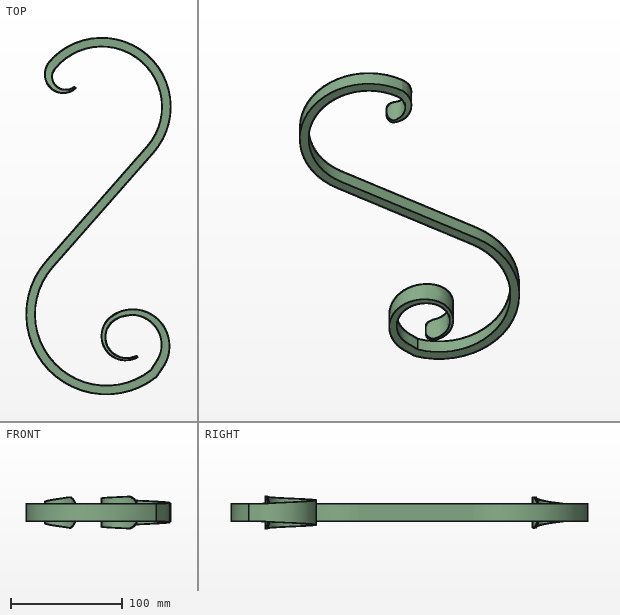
import cadquery as cq
import math


OVERALL_X = 129.76
OVERALL_Y = 319.94

BAR_THICKNESS = 8.0
BAR_HEIGHT = 16.0

UPPER_BOW_RADIUS = 58.0
LOWER_BOW_RADIUS = 68.0
UPPER_BOW_END_ANGLE = 140.0
LOWER_BOW_END_ANGLE = 308.5

TIP_THICKNESS = 1.5
TIP_HEIGHT = 29.58
TIP_CORNER_RADIUS = 10.0
UPPER_CURL_RADIUS = 14.3
UPPER_CURL_TURN = 172.0
LOWER_CURL_RADII = (30.0, 20.4)
LOWER_CURL_TURNS = (155.0, 175.0)
LOWER_CURL_CENTRE = (30.1, -116.1)
LOWER_CURL_START_ANGLE = -31.0

CUTTER_MARGIN = 1.0
CUTTER_REACH = 8.0
SECTION_STEP = 15.0


def polar(centre, radius, angle):
    """Point at a radius and an angle in degrees about a centre."""
    a = math.radians(angle)
    return (centre[0] + radius * math.cos(a), centre[1] + radius * math.sin(a))


HALF_THICKNESS = BAR_THICKNESS / 2
upper_reach = UPPER_BOW_RADIUS + HALF_THICKNESS
lower_reach = LOWER_BOW_RADIUS + HALF_THICKNESS
upper_centre = (OVERALL_X / 2 - upper_reach, OVERALL_Y / 2 - upper_reach)
lower_centre = (lower_reach - OVERALL_X / 2, lower_reach - OVERALL_Y / 2)

centre_dx = upper_centre[0] - lower_centre[0]
centre_dy = upper_centre[1] - lower_centre[1]
centre_distance = math.hypot(centre_dx, centre_dy)
centre_direction = math.degrees(math.atan2(centre_dy, centre_dx))
tangent_offset = math.degrees(math.acos((UPPER_BOW_RADIUS + LOWER_BOW_RADIUS) / centre_distance))
lower_tangent_angle = centre_direction + tangent_offset
upper_tangent_angle = lower_tangent_angle - 180.0


def bar_prism(plan):
    """Extrude a closed plan outline to the bar height, centred on Z = 0."""
    return plan.close().extrude(BAR_HEIGHT / 2, both=True)


def bow(centre, radius, start_angle, end_angle):
    """Circular stretch of bar between two angles."""
    inner = radius - HALF_THICKNESS
    outer = radius + HALF_THICKNESS
    middle = (start_angle + end_angle) / 2
    return bar_prism(
        cq.Workplane("XY")
        .moveTo(*polar(centre, inner, start_angle))
        .threePointArc(polar(centre, inner, middle), polar(centre, inner, end_angle))
        .lineTo(*polar(centre, outer, end_angle))
        .threePointArc(polar(centre, outer, middle), polar(centre, outer, start_angle))
    )


def link(start_centre, start_radius, start_angle, end_centre, end_radius, end_angle):
    """Straight bar joining two radial bar ends; a negative radius puts the end
    on the far side of its centre."""
    return bar_prism(
        cq.Workplane("XY")
        .moveTo(*polar(start_centre, start_radius - HALF_THICKNESS, start_angle))
        .lineTo(*polar(start_centre, start_radius + HALF_THICKNESS, start_angle))
        .lineTo(*polar(end_centre, end_radius + HALF_THICKNESS, end_angle))
        .lineTo(*polar(end_centre, end_radius - HALF_THICKNESS, end_angle))
    )


def curl_section(point, angle, fraction):
    """Rectangular curl section, radial at the given angle; fraction runs from 0
    at the bar to 1 at the tip."""
    half_thickness = (BAR_THICKNESS + (TIP_THICKNESS - BAR_THICKNESS) * fraction) / 2
    half_height = (BAR_HEIGHT + (TIP_HEIGHT - BAR_HEIGHT) * fraction) / 2
    inner = polar(point, -half_thickness, angle)
    outer = polar(point, half_thickness, angle)
    corners = [
        cq.Vector(*inner, -half_height),
        cq.Vector(*outer, -half_height),
        cq.Vector(*outer, half_height),
        cq.Vector(*inner, half_height),
    ]
    return cq.Wire.makePolygon(corners, close=True)


def tip_corner_cutter(tip, angle):
    """Waste outside the two rounded corners of a curl tip, seen square to it."""
    start = -TIP_CORNER_RADIUS
    half_height = TIP_HEIGHT / 2
    arc_middle = TIP_CORNER_RADIUS * (1 - math.sqrt(0.5))
    normal = cq.Vector(*polar((0, 0), 1, angle), 0)
    along = cq.Vector(*polar((0, 0), 1, angle + 90), 0)
    plane = cq.Plane(cq.Vector(*tip, 0), xDir=along, normal=normal)
    upper = (
        cq.Workplane(plane)
        .moveTo(start, half_height)
        .threePointArc((-arc_middle, half_height - arc_middle), (0, half_height - TIP_CORNER_RADIUS))
        .lineTo(CUTTER_MARGIN, half_height - TIP_CORNER_RADIUS)
        .lineTo(CUTTER_MARGIN, half_height + CUTTER_MARGIN)
        .lineTo(start, half_height + CUTTER_MARGIN)
        .close()
        .extrude(CUTTER_REACH, both=True)
    )
    return upper.union(upper.mirror("XY"))


def curl(centre, start_angle, radii, turns):
    """Tapering curl that follows tangent arcs counter-clockwise, with the
    corners of its wide tip rounded."""
    total_length = sum(r * math.radians(t) for r, t in zip(radii, turns))
    point = polar(centre, radii[0], start_angle)
    angle = start_angle
    travelled = 0.0
    sections = [curl_section(point, angle, 0.0)]
    for radius, turn in zip(radii, turns):
        arc_centre = polar(point, -radius, angle)
        steps = math.ceil(turn / SECTION_STEP)
        for _ in range(steps):
            angle += turn / steps
            travelled += radius * math.radians(turn / steps)
            point = polar(arc_centre, radius, angle)
            sections.append(curl_section(point, angle, travelled / total_length))
    body = cq.Workplane(cq.Solid.makeLoft(sections))
    return body.cut(tip_corner_cutter(point, angle))


upper_bow = bow(upper_centre, UPPER_BOW_RADIUS, upper_tangent_angle, UPPER_BOW_END_ANGLE)
lower_bow = bow(lower_centre, LOWER_BOW_RADIUS, lower_tangent_angle, LOWER_BOW_END_ANGLE)
shank = link(
    lower_centre, LOWER_BOW_RADIUS, lower_tangent_angle,
    upper_centre, -UPPER_BOW_RADIUS, lower_tangent_angle,
)
lower_bend = link(
    lower_centre, LOWER_BOW_RADIUS, LOWER_BOW_END_ANGLE,
    LOWER_CURL_CENTRE, LOWER_CURL_RADII[0], LOWER_CURL_START_ANGLE,
)

upper_curl_centre = polar(upper_centre, UPPER_BOW_RADIUS - UPPER_CURL_RADIUS, UPPER_BOW_END_ANGLE)
upper_curl = curl(upper_curl_centre, UPPER_BOW_END_ANGLE, (UPPER_CURL_RADIUS,), (UPPER_CURL_TURN,))
lower_curl = curl(LOWER_CURL_CENTRE, LOWER_CURL_START_ANGLE, LOWER_CURL_RADII, LOWER_CURL_TURNS)

result = shank
for piece in (upper_bow, lower_bow, lower_bend, upper_curl, lower_curl):
    result = result.union(piece, clean=False)